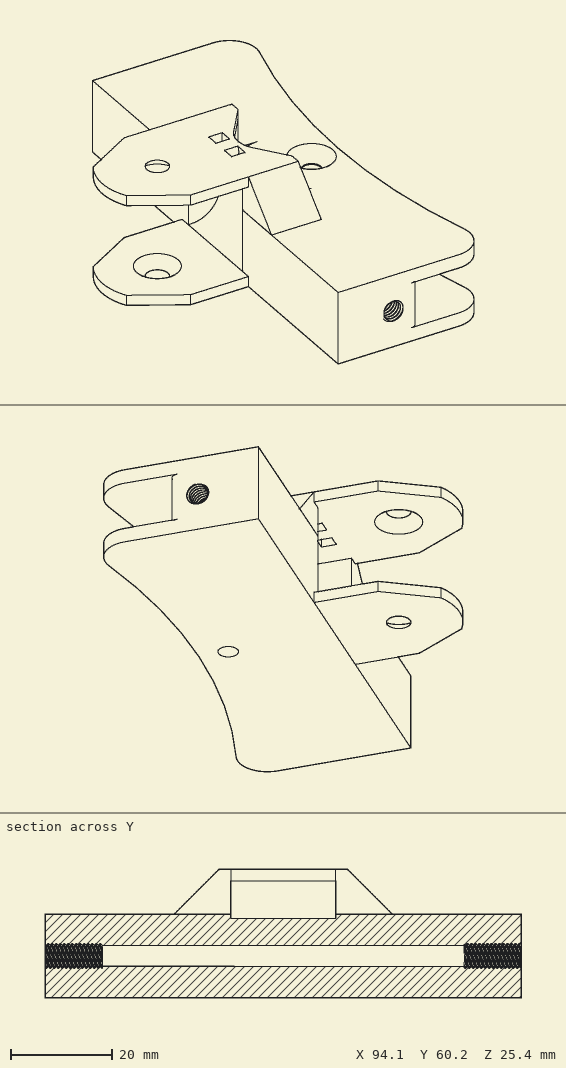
import cadquery as cq
import math

BLOCK_LENGTH = 94.1
BLOCK_HEIGHT = 16.6
TIP_DEPTH = 34.1
CORNER_RADIUS = 6.2
SADDLE_LOW_DEPTH = 28.3

FIN_THICKNESS = 3.1
SLOT_FLOOR_DEPTH = 18.45
SLOT_END_ROUND = 1.5

TOTAL_HEIGHT = 25.4
LUG_RADIUS = 12.7
LUG_THICKNESS = 2.4
LUG_HOLE_REACH = 13.4
LUG_HOLE_DIAMETER = 4.8
LUG_SIDE_ANGLE = math.radians(60)
LUG_COUNTERSINK_DIAMETER = LUG_HOLE_DIAMETER + 2 * LUG_THICKNESS

BRIDGE_DEPTH = 11.5
BRIDGE_RISE = TOTAL_HEIGHT - BLOCK_HEIGHT
NOTCH_SLOPE = math.radians(36.9)
NOTCH_ROUND = 6.1

POCKET_WIDTH = 20.7
RAMP_BACK_DEPTH = 15.8
RAMP_RADIUS = 6.6
RAMP_ANGLE = math.radians(64.5)

STRAP_INNER_RADIUS = 2.0
STRAP_OUTER_RADIUS = 4.5
STRAP_FRONT = 1.1
STRAP_WIDTH = 3.1

FIN_HOLE_DEPTH = 22.2
FIN_HOLE_DIAMETER = 4.05
FIN_COUNTERSINK_DIAMETER = 9.8

BORE_DIAMETER = 4.05
THREAD_DIAMETER = 4.8
BORE_DEPTH = 12.6
BORE_HEIGHT = BLOCK_HEIGHT / 2
THREAD_PITCH = 0.79
THREAD_LENGTH = 11.3
THREAD_MOUTH_WIDTH = 0.7
THREAD_INSET = 0.05
THREAD_HALF_ANGLE = math.radians(30)


def box(width, depth, height, front, bottom):
    """Box centred on X = 0 that runs back from `front` and up from `bottom`."""
    return (
        cq.Workplane("XY", origin=(0, front + depth / 2, bottom))
        .rect(width, depth)
        .extrude(height)
    )


def countersunk_hole(y, rim_z, diameter, rim_diameter):
    """Cutter for a vertical hole that widens upwards, at 45 degrees to its axis, to a rim at `rim_z`."""
    radius = diameter / 2
    rim_radius = rim_diameter / 2
    depth = rim_radius - radius
    cone = cq.Solid.makeCone(radius, rim_radius, depth, cq.Vector(0, y, rim_z - depth))
    return cq.Workplane("XY", origin=(0, y, 0)).circle(radius).extrude(rim_z).union(cq.Workplane(cone))


def block():
    """Block with a hollow rear edge whose arc runs smoothly into two round corners."""
    half = BLOCK_LENGTH / 2
    corner_x = half - CORNER_RADIUS
    corner_y = TIP_DEPTH - CORNER_RADIUS
    drop = SADDLE_LOW_DEPTH - corner_y
    saddle_radius = (corner_x**2 + drop**2 - CORNER_RADIUS**2) / (2 * (CORNER_RADIUS - drop))
    saddle_y = SADDLE_LOW_DEPTH + saddle_radius
    share = CORNER_RADIUS / (CORNER_RADIUS + saddle_radius)
    joint_x = corner_x * (1 - share)
    joint_y = corner_y + (saddle_y - corner_y) * share
    return (
        cq.Workplane("XY")
        .moveTo(-half, 0)
        .lineTo(half, 0)
        .lineTo(half, corner_y)
        .threePointArc((corner_x, TIP_DEPTH), (joint_x, joint_y))
        .threePointArc((0, SADDLE_LOW_DEPTH), (-joint_x, joint_y))
        .threePointArc((-corner_x, TIP_DEPTH), (-half, corner_y))
        .close()
        .extrude(BLOCK_HEIGHT)
    )


def fin_slot():
    """Cutter for the rear slot; the floor is rounded off at both ends of the block."""
    slot_height = BLOCK_HEIGHT - 2 * FIN_THICKNESS
    slot = box(BLOCK_LENGTH, TIP_DEPTH, slot_height, 0, FIN_THICKNESS)
    core = box(BLOCK_LENGTH, SLOT_FLOOR_DEPTH, slot_height, 0, FIN_THICKNESS)
    return slot.cut(core.edges("|Z and >Y").fillet(SLOT_END_ROUND))


def ramp_pocket():
    """Cutter for the front recess; its back is a convex arc, a slope and a concave arc."""
    arc_y = RAMP_RADIUS * math.sin(RAMP_ANGLE)
    arc_z = RAMP_RADIUS * (1 - math.cos(RAMP_ANGLE))
    half_y = RAMP_RADIUS * math.sin(RAMP_ANGLE / 2)
    half_z = RAMP_RADIUS * (1 - math.cos(RAMP_ANGLE / 2))
    slope_z = BLOCK_HEIGHT - LUG_THICKNESS - 2 * arc_z
    slope_y = slope_z / math.tan(RAMP_ANGLE)
    ramp_foot = RAMP_BACK_DEPTH - 2 * arc_y - slope_y
    low_arc_end = (ramp_foot + arc_y, LUG_THICKNESS + arc_z)
    low_arc_middle = (ramp_foot + half_y, LUG_THICKNESS + half_z)
    high_arc_start = (RAMP_BACK_DEPTH - arc_y, BLOCK_HEIGHT - arc_z)
    high_arc_middle = (RAMP_BACK_DEPTH - half_y, BLOCK_HEIGHT - half_z)
    return (
        cq.Workplane("YZ", origin=(-POCKET_WIDTH / 2, 0, 0))
        .moveTo(0, LUG_THICKNESS)
        .lineTo(ramp_foot, LUG_THICKNESS)
        .threePointArc(low_arc_middle, low_arc_end)
        .lineTo(*high_arc_start)
        .threePointArc(high_arc_middle, (RAMP_BACK_DEPTH, BLOCK_HEIGHT))
        .lineTo(0, BLOCK_HEIGHT)
        .close()
        .extrude(POCKET_WIDTH)
    )


def cross_bore():
    """Cutter for the bore that runs along X through the whole block."""
    return (
        cq.Workplane("YZ", origin=(-BLOCK_LENGTH / 2, BORE_DEPTH, BORE_HEIGHT))
        .circle(BORE_DIAMETER / 2)
        .extrude(BLOCK_LENGTH)
    )


def thread_groove(start_x):
    """Cutter for the helical groove in the bore wall from `start_x` on, flat at both ends."""
    bore_radius = BORE_DIAMETER / 2
    root_radius = THREAD_DIAMETER / 2
    mouth = THREAD_MOUTH_WIDTH / 2
    taper = math.tan(THREAD_HALF_ANGLE)
    root = mouth - (root_radius - bore_radius) * taper
    inner_radius = bore_radius - THREAD_INSET
    inner = mouth + THREAD_INSET * taper
    helix = cq.Wire.makeHelix(THREAD_PITCH, THREAD_LENGTH + 2 * THREAD_PITCH, bore_radius)
    groove = (
        cq.Workplane("XZ")
        .polyline([(inner_radius, -inner), (root_radius, -root), (root_radius, root), (inner_radius, inner)])
        .close()
        .sweep(cq.Workplane("XY").newObject([helix]), isFrenet=True)
        .translate((0, 0, -THREAD_PITCH))
    )
    threaded_stretch = cq.Workplane("XY").circle(THREAD_DIAMETER).extrude(THREAD_LENGTH)
    return (
        groove.intersect(threaded_stretch)
        .rotate((0, 0, 0), (0, 1, 0), 90)
        .translate((start_x, BORE_DEPTH, BORE_HEIGHT))
    )


def make_housing():
    """Block with its fins, ramp pocket, countersunk hole and threaded cross bore."""
    housing = (
        block()
        .cut(fin_slot())
        .cut(ramp_pocket())
        .cut(countersunk_hole(FIN_HOLE_DEPTH, BLOCK_HEIGHT, FIN_HOLE_DIAMETER, FIN_COUNTERSINK_DIAMETER))
        .cut(cross_bore())
    )
    for start_x in (-BLOCK_LENGTH / 2, BLOCK_LENGTH / 2 - THREAD_LENGTH):
        housing = housing.cut(thread_groove(start_x))
    return housing


def bridge():
    """Open frame with 45 degree flanks, as wide at the top as the upper lug."""
    opening = box(POCKET_WIDTH, BRIDGE_DEPTH, BRIDGE_RISE - LUG_THICKNESS, 0, BLOCK_HEIGHT)
    foot = LUG_RADIUS + BRIDGE_RISE
    return (
        cq.Workplane("XZ")
        .polyline([
            (-foot, BLOCK_HEIGHT),
            (foot, BLOCK_HEIGHT),
            (LUG_RADIUS, TOTAL_HEIGHT),
            (-LUG_RADIUS, TOTAL_HEIGHT),
        ])
        .close()
        .extrude(-BRIDGE_DEPTH)
        .cut(opening)
    )


def bridge_notch():
    """Cutter for the rounded V in the rear edge of the bridge's top."""
    half = POCKET_WIDTH / 2
    point_y = BRIDGE_DEPTH - half * math.tan(NOTCH_SLOPE)
    return (
        cq.Workplane("XY", origin=(0, 0, TOTAL_HEIGHT - LUG_THICKNESS))
        .polyline([(-half, BRIDGE_DEPTH), (0, point_y), (half, BRIDGE_DEPTH)])
        .close()
        .extrude(LUG_THICKNESS)
        .edges("|Z and <Y")
        .fillet(NOTCH_ROUND)
    )


def strap_channel():
    """Ring-shaped cutter that leaves two curved slots in the top of the bridge."""
    return (
        cq.Workplane("XZ", origin=(0, STRAP_FRONT, TOTAL_HEIGHT - LUG_THICKNESS / 2))
        .circle(STRAP_OUTER_RADIUS)
        .circle(STRAP_INNER_RADIUS)
        .extrude(-STRAP_WIDTH)
    )


def make_lower_hinge():
    """Flat lug that butts against the front face: tapered sides, a round nose, a countersunk hole."""
    nose_x = LUG_RADIUS * math.cos(LUG_SIDE_ANGLE)
    nose_y = -LUG_HOLE_REACH - LUG_RADIUS * math.sin(LUG_SIDE_ANGLE)
    return (
        cq.Workplane("XY")
        .moveTo(-LUG_RADIUS, 0)
        .lineTo(-LUG_RADIUS, -LUG_HOLE_REACH)
        .lineTo(-nose_x, nose_y)
        .threePointArc((0, -LUG_HOLE_REACH - LUG_RADIUS), (nose_x, nose_y))
        .lineTo(LUG_RADIUS, -LUG_HOLE_REACH)
        .lineTo(LUG_RADIUS, 0)
        .close()
        .extrude(LUG_THICKNESS)
        .cut(countersunk_hole(-LUG_HOLE_REACH, LUG_THICKNESS, LUG_HOLE_DIAMETER, LUG_COUNTERSINK_DIAMETER))
    )


def make_upper_hinge():
    """Bridge that stands on the block, in one piece with a lug that mirrors the lower one."""
    upper_lug = make_lower_hinge().mirror("XY").translate((0, 0, TOTAL_HEIGHT))
    return (
        bridge()
        .cut(bridge_notch())
        .union(upper_lug)
        .cut(strap_channel())
    )


housing = make_housing()
lower_hinge = make_lower_hinge()
upper_hinge = make_upper_hinge()

result = cq.Compound.makeCompound([housing.val(), lower_hinge.val(), upper_hinge.val()])